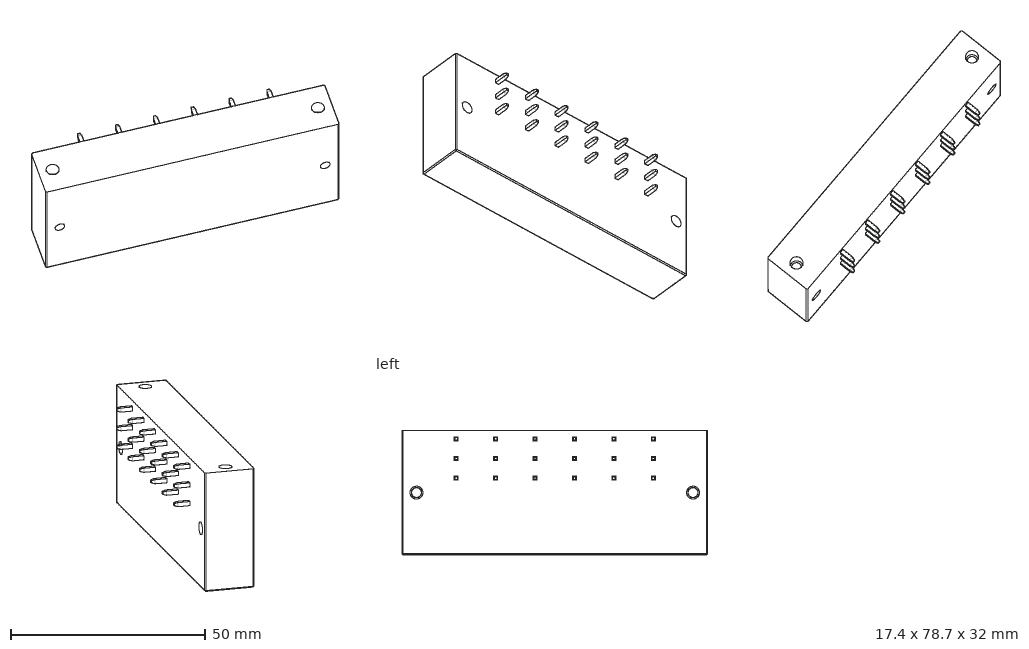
import cadquery as cq

body_depth = 13.3
body_length = 78.7
body_height = 32.0
edge_chamfer = 0.3

hole_diameter = 2.5
bore_diameter = 3.3
bore_depth = 3.9
shoulder_depth = (bore_diameter - hole_diameter) / 2
hole_spacing = 71.2
hole_x = body_depth / 2
hole_z = body_height / 2

pin_columns = 6
pin_rows = 3
pin_column_pitch = 10.15
pin_row_pitch = 5.0
top_row_drop = 2.2
pin_width = 1.1
pin_tip_width = 0.6
pin_length = 4.1
pin_tip_length = 0.95


def make_body():
    """Block standing on Z = 0 with every edge bevelled except those of the top face."""
    block = cq.Workplane("XY").box(
        body_depth, body_length, body_height, centered=(False, True, False)
    )
    return block.edges("|Z or <Z").chamfer(edge_chamfer)


def stepped_hole(mouth_plane, depth):
    """Hole sunk along the plane's normal: wide bore, conical shoulder, then the narrow hole."""
    bore = cq.Workplane(mouth_plane).circle(bore_diameter / 2).extrude(bore_depth)
    shoulder = (
        cq.Workplane(mouth_plane)
        .workplane(offset=bore_depth)
        .circle(bore_diameter / 2)
        .workplane(offset=shoulder_depth)
        .circle(hole_diameter / 2)
        .loft(ruled=True)
    )
    narrow_hole = cq.Workplane(mouth_plane).circle(hole_diameter / 2).extrude(depth)
    return narrow_hole.union(bore).union(shoulder)


def make_hole_pair(y):
    """Cross hole through the block along X, met at its axis by a hole from the top face."""
    side_mouth = cq.Plane(origin=(0, y, hole_z), xDir=(0, 1, 0), normal=(1, 0, 0))
    top_mouth = cq.Plane(origin=(hole_x, y, body_height), xDir=(1, 0, 0), normal=(0, 0, -1))
    cross_hole = stepped_hole(side_mouth, body_depth)
    top_hole = stepped_hole(top_mouth, body_height - hole_z)
    return cross_hole.union(top_hole)


def make_pin(y, z):
    """Square pin pointing to -X with a tapered tip."""
    root = cq.Plane(origin=(0, y, z), xDir=(0, 1, 0), normal=(-1, 0, 0))
    shank_length = pin_length - pin_tip_length
    shank = cq.Workplane(root).rect(pin_width, pin_width).extrude(shank_length)
    tip = (
        cq.Workplane(root)
        .workplane(offset=shank_length)
        .rect(pin_width, pin_width)
        .workplane(offset=pin_tip_length)
        .rect(pin_tip_width, pin_tip_width)
        .loft(ruled=True)
    )
    return shank.union(tip)


result = make_body()

for side in (-1, 1):
    result = result.cut(make_hole_pair(side * hole_spacing / 2))

for column in range(pin_columns):
    pin_y = (column - (pin_columns - 1) / 2) * pin_column_pitch
    for row in range(pin_rows):
        pin_z = body_height - top_row_drop - row * pin_row_pitch
        result = result.union(make_pin(pin_y, pin_z))